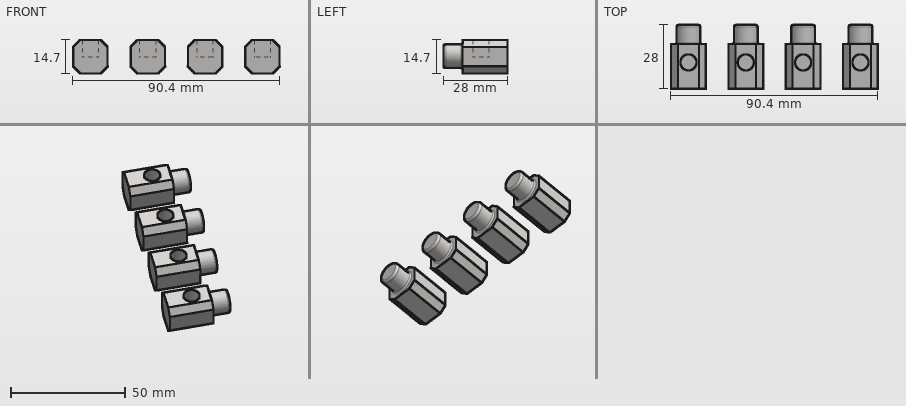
import cadquery as cq

STUD_COUNT = 4
ROW_LENGTH = 90.4
STUD_PITCH = 25.05

HEAD_WIDTH = 15.1
HEAD_HEIGHT = 14.7
HEAD_LENGTH = 19.6
HEAD_TOP = 7.05
TOP_BEVEL = 3.0
BOTTOM_BEVEL = 3.2
LIP_SPAN = ROW_LENGTH - (STUD_COUNT - 1) * STUD_PITCH
LIP_STEP = (LIP_SPAN - HEAD_WIDTH) / 2

BOSS_DIAMETER = 10.5
BOSS_LENGTH = 8.4
TIP_FILLET = 1.1
ROOT_FILLET = 0.7

HOLE_DIAMETER = 7.05
HOLE_FROM_FRONT = 11.6
HOLE_DEPTH = HEAD_HEIGHT / 2


def make_head():
    """Bevelled bar with a small outward lip above each lower bevel."""
    half_width = HEAD_WIDTH / 2
    half_lip = LIP_SPAN / 2
    head_bottom = HEAD_TOP - HEAD_HEIGHT
    lip_height = head_bottom + BOTTOM_BEVEL
    half_bottom = half_lip - BOTTOM_BEVEL
    right_side = [
        (half_bottom, head_bottom),
        (half_lip, lip_height),
        (half_width, lip_height + LIP_STEP),
        (half_width, HEAD_TOP - TOP_BEVEL),
        (half_width - TOP_BEVEL, HEAD_TOP),
    ]
    left_side = [(-x, z) for x, z in reversed(right_side)]
    outline = cq.Workplane("XZ").polyline(right_side + left_side).close()
    return outline.extrude(-HEAD_LENGTH)


def make_boss():
    """Turned boss with a rounded tip and a flared root, revolved about Y."""
    radius = BOSS_DIAMETER / 2
    tip = HEAD_LENGTH + BOSS_LENGTH
    return (
        cq.Workplane("XY")
        .moveTo(0, HEAD_LENGTH)
        .lineTo(radius + ROOT_FILLET, HEAD_LENGTH)
        .radiusArc((radius, HEAD_LENGTH + ROOT_FILLET), ROOT_FILLET)
        .lineTo(radius, tip - TIP_FILLET)
        .radiusArc((radius - TIP_FILLET, tip), -TIP_FILLET)
        .lineTo(0, tip)
        .close()
        .revolve(360, (0, 0), (0, 1))
    )


def make_cross_hole():
    """Cutter for the blind hole, running down from the top face."""
    return (
        cq.Workplane("XY", origin=(0, HOLE_FROM_FRONT, HEAD_TOP))
        .circle(HOLE_DIAMETER / 2)
        .extrude(-HOLE_DEPTH)
    )


def make_stud():
    return make_head().union(make_boss()).cut(make_cross_hole())


studs = []
for index in range(STUD_COUNT):
    stud_x = (index - (STUD_COUNT - 1) / 2) * STUD_PITCH
    studs.append(make_stud().translate((stud_x, 0, 0)).val())

result = cq.Compound.makeCompound([
    solid for stud in studs for solid in stud.Solids()
])